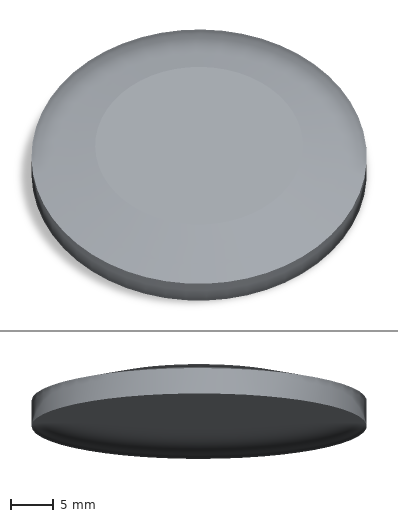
import cadquery as cq

outer_diameter = 39.88
top_diameter = 24.73
total_height = 5.05
rim_height = 3.07

outer_radius = outer_diameter / 2
top_radius = top_diameter / 2

half_section = (
    cq.Workplane("XZ")
    .moveTo(0, 0)
    .lineTo(outer_radius, 0)
    .lineTo(outer_radius, rim_height)
    .lineTo(top_radius, total_height)
    .lineTo(0, total_height)
    .close()
)

result = half_section.revolve(360, (0, 0, 0), (0, 1, 0))